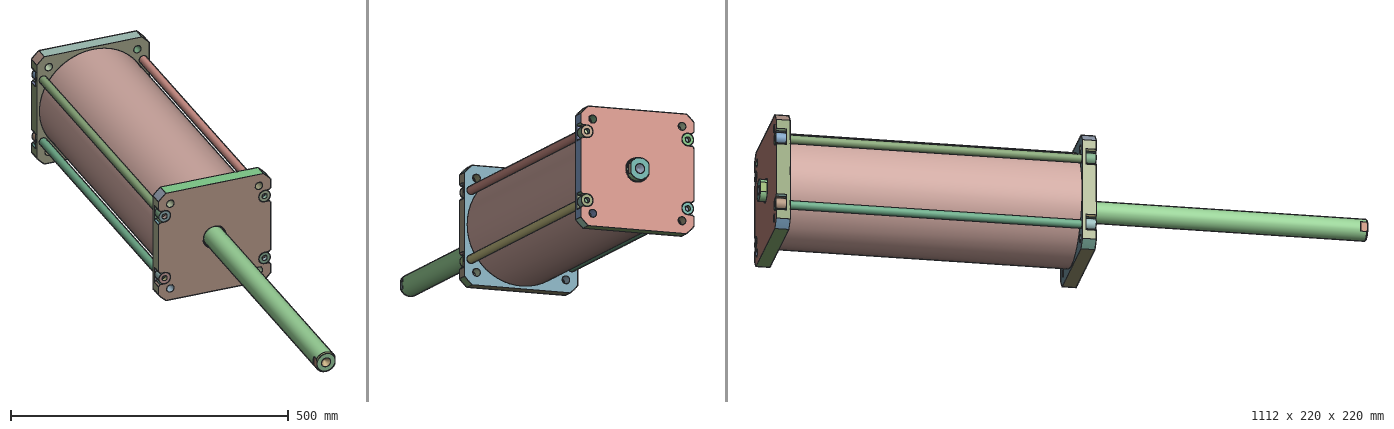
import cadquery as cq

OVERALL_LENGTH = 1112.0
ROD_STUB = 12.0
PLATE_SIDE = 220.0
PLATE_THICKNESS = 26.0
PLATE_CORNER_DIAMETER = 291.0
FRONT_PLATE_FACE = 598.0

BARREL_DIAMETER = 210.0
BARREL_WALL = 6.0

PISTON_ROD_DIAMETER = 40.0
ROD_RECESS_DIAMETER = 45.0
ROD_RECESS_DEPTH = 3.0
FLAT_WIDTH = 36.0
FLAT_LENGTH = 13.0
END_CHAMFER = 2.0
CENTRE_HOLE_DIAMETER = 18.0
CENTRE_HOLE_DEPTH = 9.0

MOUNTING_HOLE_DIAMETER = 15.0
MOUNTING_HOLE_OFFSET = 87.0

TIE_ROD_DIAMETER = 16.0
TIE_ROD_Y = 98.0
TIE_ROD_Z = 63.0
HEAD_DIAMETER = 22.0
HEAD_LENGTH = 19.0
SOCKET_DIAMETER = 10.0
SOCKET_DEPTH = 9.0
HEAD_SLOT_WIDTH = 23.0
SLOT_MOUTH_CHAMFER = 3.0

REAR_PLATE_FACE = ROD_STUB
BARREL_START = REAR_PLATE_FACE + PLATE_THICKNESS
BARREL_END = FRONT_PLATE_FACE - PLATE_THICKNESS
REAR_SEAT = REAR_PLATE_FACE + HEAD_LENGTH
FRONT_SEAT = FRONT_PLATE_FACE - HEAD_LENGTH

SIGNS = (-1, 1)
TIE_ROD_CENTRES = [(sy * TIE_ROD_Y, sz * TIE_ROD_Z) for sy in SIGNS for sz in SIGNS]
MOUNTING_CENTRES = [
    (sy * MOUNTING_HOLE_OFFSET, sz * MOUNTING_HOLE_OFFSET) for sy in SIGNS for sz in SIGNS
]


def cylinder(diameter, x_start, x_end, y=0, z=0):
    """Cylinder along X between two stations, centred at (y, z)."""
    plane = cq.Workplane("YZ", origin=(x_start, y, z))
    return plane.circle(diameter / 2).extrude(x_end - x_start)


def make_plate(x_start, slot_start, recess_start):
    """Square end plate; its head slots start at slot_start along X."""
    plate = (
        cq.Workplane("YZ", origin=(x_start, 0, 0))
        .rect(PLATE_SIDE, PLATE_SIDE)
        .extrude(PLATE_THICKNESS)
    )
    plate = plate.intersect(cylinder(PLATE_CORNER_DIAMETER, x_start, x_start + PLATE_THICKNESS))
    holes = cq.Workplane("YZ", origin=(x_start, 0, 0))
    plate = plate.cut(
        holes.pushPoints(MOUNTING_CENTRES).circle(MOUNTING_HOLE_DIAMETER / 2).extrude(PLATE_THICKNESS)
    )
    plate = plate.cut(
        holes.pushPoints(TIE_ROD_CENTRES).circle(TIE_ROD_DIAMETER / 2).extrude(PLATE_THICKNESS)
    )
    plate = plate.cut(holes.circle(PISTON_ROD_DIAMETER / 2).extrude(PLATE_THICKNESS))
    plate = plate.cut(cylinder(ROD_RECESS_DIAMETER, recess_start, recess_start + ROD_RECESS_DEPTH))
    for y, z in TIE_ROD_CENTRES:
        plate = plate.cut(make_head_slot(slot_start, y, z))
    return plate


def make_head_slot(x_start, y, z):
    """Round-ended recess for a tie rod head, with a chamfered mouth in the nearest plate side."""
    side = 1 if y > 0 else -1
    mouth_y = side * PLATE_SIDE / 2
    chamfer_y = mouth_y - side * SLOT_MOUTH_CHAMFER
    half_width = HEAD_SLOT_WIDTH / 2
    half_mouth = half_width + SLOT_MOUTH_CHAMFER
    run_out = (
        cq.Workplane("YZ", origin=(x_start, 0, z))
        .polyline([
            (y, -half_width),
            (chamfer_y, -half_width),
            (mouth_y, -half_mouth),
            (mouth_y, half_mouth),
            (chamfer_y, half_width),
            (y, half_width),
        ])
        .close()
        .extrude(HEAD_LENGTH)
    )
    return cylinder(HEAD_SLOT_WIDTH, x_start, x_start + HEAD_LENGTH, y, z).union(run_out)


def make_tie_rod(y, z):
    """Tie rod with a socketed round head sunk in each end plate."""
    rod = cylinder(TIE_ROD_DIAMETER, REAR_SEAT, FRONT_SEAT, y, z)
    rod = rod.union(cylinder(HEAD_DIAMETER, REAR_PLATE_FACE, REAR_SEAT, y, z))
    rod = rod.union(cylinder(HEAD_DIAMETER, FRONT_SEAT, FRONT_PLATE_FACE, y, z))
    rod = rod.cut(cylinder(SOCKET_DIAMETER, REAR_PLATE_FACE, REAR_PLATE_FACE + SOCKET_DEPTH, y, z))
    return rod.cut(cylinder(SOCKET_DIAMETER, FRONT_PLATE_FACE - SOCKET_DEPTH, FRONT_PLATE_FACE, y, z))


def make_barrel():
    """Tube held between the two end plates."""
    outside = cylinder(BARREL_DIAMETER, BARREL_START, BARREL_END)
    return outside.cut(cylinder(BARREL_DIAMETER - 2 * BARREL_WALL, BARREL_START, BARREL_END))


def make_flat_cutter(x_start, x_end):
    """Two blocks that leave wrench flats facing -Y and +Y."""
    block_depth = PISTON_ROD_DIAMETER
    block_centre = (FLAT_WIDTH + block_depth) / 2
    return (
        cq.Workplane("YZ", origin=(x_start, 0, 0))
        .pushPoints([(-block_centre, 0), (block_centre, 0)])
        .rect(block_depth, PISTON_ROD_DIAMETER)
        .extrude(x_end - x_start)
    )


def make_centre_cone():
    """Conical centre hole, base at X = 0 and pointing along +X."""
    half_profile = [(0, 0), (CENTRE_HOLE_DEPTH, 0), (0, CENTRE_HOLE_DIAMETER / 2)]
    return cq.Workplane("XY").polyline(half_profile).close().revolve(360, (0, 0, 0), (1, 0, 0))


def make_piston_rod():
    """Through rod with wrench flats, and a centre hole, at both ends."""
    rod = cylinder(PISTON_ROD_DIAMETER, 0, OVERALL_LENGTH)
    rod = rod.faces(">X").chamfer(END_CHAMFER)
    rod = rod.cut(make_flat_cutter(0, ROD_STUB))
    rod = rod.cut(make_flat_cutter(OVERALL_LENGTH - FLAT_LENGTH, OVERALL_LENGTH))
    cone = make_centre_cone()
    rod = rod.cut(cone)
    return rod.cut(cone.mirror("YZ").translate((OVERALL_LENGTH, 0, 0)))


rear_plate = make_plate(REAR_PLATE_FACE, REAR_PLATE_FACE, REAR_PLATE_FACE)
front_plate = make_plate(BARREL_END, FRONT_SEAT, FRONT_PLATE_FACE - ROD_RECESS_DEPTH)
barrel = make_barrel()
piston_rod = make_piston_rod()
tie_rods = [make_tie_rod(y, z) for y, z in TIE_ROD_CENTRES]

result = cq.Compound.makeCompound([
    rear_plate.val(),
    front_plate.val(),
    barrel.val(),
    piston_rod.val(),
    *[tie_rod.val() for tie_rod in tie_rods],
])